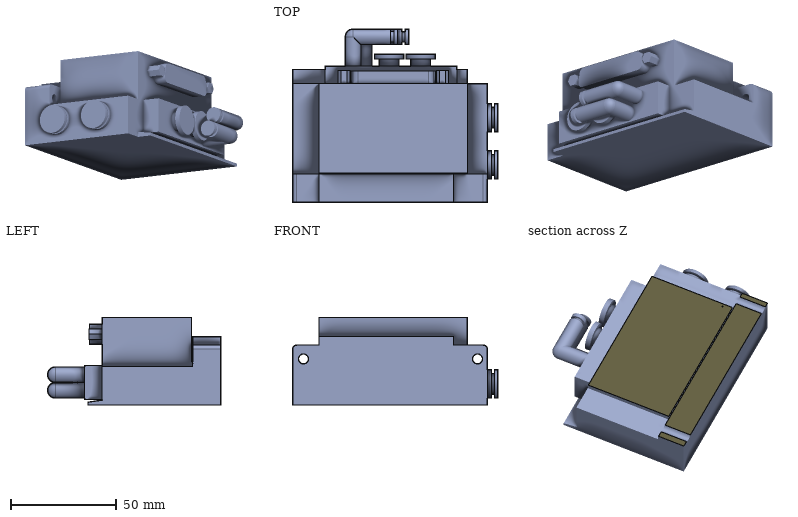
import cadquery as cq
import math


BASE_WIDTH = 92.5
BASE_DEPTH = 56.4
SHELF_HEIGHT = 18.3
FRONT_WALL_DEPTH = 13.5
SHOULDER_HEIGHT = 28.5
SHOULDER_RADIUS = 2.0
STEP_HEIGHT = 32.5
STEP_RIGHT = 76.5

MOUNT_HOLE_DIAMETER = 4.6
MOUNT_HOLE_XS = (5.2, 87.8)
MOUNT_HOLE_HEIGHT = 21.9

VALVE_LEFT = 12.55
VALVE_RIGHT = 83.0
VALVE_TOP = 41.6
VALVE_GAP = 0.4
SEAT_HEIGHT = 20.6

LIP_WIDTH = VALVE_RIGHT
LIP_BACK = 63.1
LIP_EDGE_HEIGHT = 1.4
LIP_ROOT_HEIGHT = 2.4

PORT_BLOCK_LEFT = 15.5
PORT_BLOCK_RIGHT = 78.0
PORT_BLOCK_BACK = 64.7
PORT_BLOCK_BOTTOM = 2.6
PORT_BLOCK_TOP = 18.8
PORT_BLOCK_MIDDLE = (PORT_BLOCK_BOTTOM + PORT_BLOCK_TOP) / 2

MUSHROOM_XS = (45.8, 60.8)
MUSHROOM_STEM_DIAMETER = 9.5
MUSHROOM_STEM_LENGTH = 3.3
MUSHROOM_CAP_DIAMETER = 14.0
MUSHROOM_CAP_THICKNESS = 2.4

ELBOW_DIAMETER = 7.4
ELBOW_TIP = 82.3
ELBOW_AXIS_Y = ELBOW_TIP - ELBOW_DIAMETER / 2
UPPER_ELBOW_X = 28.7
ELBOW_SHIFT = 5.35
ELBOW_ARM_LENGTH = 17.8
ELBOW_NECK_DIAMETER = 5.0
ELBOW_NECK_LENGTH = 1.6
ELBOW_COLLAR_DIAMETER = 7.38
ELBOW_COLLAR_LENGTH = 1.8

SIDE_FITTING_YS = (17.8, 40.2)
SIDE_FITTING_HEIGHT = 10.08
SIDE_FLANGE_DIAMETER = 13.5
SIDE_FLANGE_LENGTH = 2.0
SIDE_NECK_DIAMETER = 10.0
SIDE_NECK_LENGTH = 1.3
SIDE_COLLAR_LENGTH = 1.7

CONNECTOR_X = 47.8
CONNECTOR_Z = 33.6
SHELL_TOP_WIDTH = 37.6
SHELL_HEIGHT = 9.6
SHELL_SIDE_ANGLE = 10.0
SHELL_RADIUS = 2.6
SHELL_LENGTH = 6.0
POST_SPACING = 46.8
POST_ACROSS_FLATS = 5.0
POST_LENGTH = 6.3


def box(x0, x1, y0, y1, z0, z1):
    """Block between the given limits."""
    return cq.Workplane("XY").box(x1 - x0, y1 - y0, z1 - z0, centered=False).translate((x0, y0, z0))


def rod_along_x(start, diameter, length):
    """Round rod from a start point toward +X."""
    return cq.Workplane(cq.Solid.makeCylinder(diameter / 2, length, cq.Vector(*start), cq.Vector(1, 0, 0)))


def rod_along_y(start, diameter, length):
    """Round rod from a start point toward +Y."""
    return cq.Workplane(cq.Solid.makeCylinder(diameter / 2, length, cq.Vector(*start), cq.Vector(0, 1, 0)))


def back_plane(x, y, z):
    """Sketch plane facing +Y with Z up; its local x runs toward -X."""
    return cq.Workplane(cq.Plane(origin=(x, y, z), xDir=(-1, 0, 0), normal=(0, 1, 0)))


def stepped_rod_along_x(start, sections):
    """Chain of round sections, each a (diameter, length) pair, running toward +X."""
    x, y, z = start
    rod = None
    for diameter, length in sections:
        section = rod_along_x((x, y, z), diameter, length)
        rod = section if rod is None else rod.union(section)
        x += length
    return rod


def make_base():
    base = box(0, BASE_WIDTH, 0, BASE_DEPTH, 0, SHELF_HEIGHT)
    front_wall = box(0, BASE_WIDTH, 0, FRONT_WALL_DEPTH, 0, SHOULDER_HEIGHT)
    front_wall = front_wall.edges("|Y and >Z").fillet(SHOULDER_RADIUS)
    step = box(VALVE_LEFT, STEP_RIGHT, 0, FRONT_WALL_DEPTH, 0, STEP_HEIGHT)
    base = base.union(front_wall).union(step)
    for x in MOUNT_HOLE_XS:
        base = base.cut(rod_along_y((x, 0, MOUNT_HOLE_HEIGHT), MOUNT_HOLE_DIAMETER, FRONT_WALL_DEPTH))
    return base


def make_valve():
    seat = box(VALVE_LEFT, VALVE_RIGHT, FRONT_WALL_DEPTH, BASE_DEPTH, 0, SEAT_HEIGHT)
    valve = box(VALVE_LEFT, VALVE_RIGHT, FRONT_WALL_DEPTH + VALVE_GAP, BASE_DEPTH, 0, VALVE_TOP)
    return seat.union(valve)


def make_lip():
    profile = [
        (BASE_DEPTH, 0),
        (LIP_BACK, 0),
        (LIP_BACK, LIP_EDGE_HEIGHT),
        (BASE_DEPTH, LIP_ROOT_HEIGHT),
    ]
    return cq.Workplane("YZ").polyline(profile).close().extrude(LIP_WIDTH)


def make_port_block():
    return box(
        PORT_BLOCK_LEFT, PORT_BLOCK_RIGHT, BASE_DEPTH, PORT_BLOCK_BACK, PORT_BLOCK_BOTTOM, PORT_BLOCK_TOP
    )


def make_mushroom_port(x):
    cap_start = PORT_BLOCK_BACK + MUSHROOM_STEM_LENGTH
    stem = rod_along_y((x, PORT_BLOCK_BACK, PORT_BLOCK_MIDDLE), MUSHROOM_STEM_DIAMETER, MUSHROOM_STEM_LENGTH)
    cap = rod_along_y((x, cap_start, PORT_BLOCK_MIDDLE), MUSHROOM_CAP_DIAMETER, MUSHROOM_CAP_THICKNESS)
    return stem.union(cap)


def make_elbow(x, z):
    corner = (x, ELBOW_AXIS_Y, z)
    riser = rod_along_y((x, PORT_BLOCK_BACK, z), ELBOW_DIAMETER, ELBOW_AXIS_Y - PORT_BLOCK_BACK)
    bend = cq.Workplane("XY").sphere(ELBOW_DIAMETER / 2).translate(corner)
    arm = stepped_rod_along_x(
        corner,
        [
            (ELBOW_DIAMETER, ELBOW_ARM_LENGTH),
            (ELBOW_NECK_DIAMETER, ELBOW_NECK_LENGTH),
            (ELBOW_COLLAR_DIAMETER, ELBOW_COLLAR_LENGTH),
        ],
    )
    return riser.union(bend).union(arm)


def make_side_fitting(y):
    return stepped_rod_along_x(
        (BASE_WIDTH, y, SIDE_FITTING_HEIGHT),
        [
            (SIDE_FLANGE_DIAMETER, SIDE_FLANGE_LENGTH),
            (SIDE_NECK_DIAMETER, SIDE_NECK_LENGTH),
            (SIDE_FLANGE_DIAMETER, SIDE_COLLAR_LENGTH),
        ],
    )


def make_connector_shell():
    half_top = SHELL_TOP_WIDTH / 2
    half_bottom = half_top + SHELL_HEIGHT * math.tan(math.radians(SHELL_SIDE_ANGLE))
    half_height = SHELL_HEIGHT / 2
    outline = [
        (-half_bottom, -half_height),
        (half_bottom, -half_height),
        (half_top, half_height),
        (-half_top, half_height),
    ]
    shell = back_plane(CONNECTOR_X, BASE_DEPTH, CONNECTOR_Z).polyline(outline).close().extrude(SHELL_LENGTH)
    return shell.edges("|Y").fillet(SHELL_RADIUS)


def make_screw_post(x):
    across_corners = POST_ACROSS_FLATS / math.cos(math.pi / 6)
    return back_plane(x, BASE_DEPTH, CONNECTOR_Z).polygon(6, across_corners).extrude(POST_LENGTH)


result = make_base().union(make_valve()).union(make_lip()).union(make_port_block())
for port_x in MUSHROOM_XS:
    result = result.union(make_mushroom_port(port_x))
result = result.union(make_elbow(UPPER_ELBOW_X, PORT_BLOCK_MIDDLE + ELBOW_DIAMETER / 2))
result = result.union(make_elbow(UPPER_ELBOW_X + ELBOW_SHIFT, PORT_BLOCK_MIDDLE - ELBOW_DIAMETER / 2))
for fitting_y in SIDE_FITTING_YS:
    result = result.union(make_side_fitting(fitting_y))
result = result.union(make_connector_shell())
for side in (-1, 1):
    result = result.union(make_screw_post(CONNECTOR_X + side * POST_SPACING / 2))